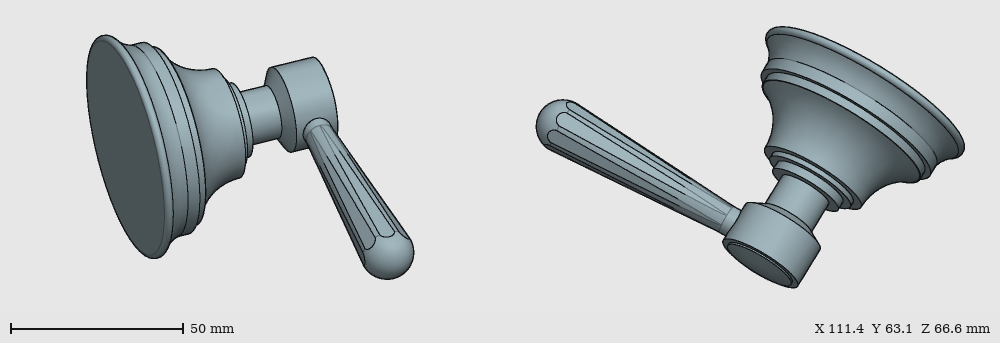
import cadquery as cq
import math

bead_radius = 1.3
base_radius = 33.3
bead_center_radius = base_radius - bead_radius
bead_sweep = math.radians(165)

skirt_mid_radius = 29.8
skirt_mid_height = 5.8
skirt_radius = 28.6
skirt_flare_top = 8.6
skirt_top = 12.3

bell_foot_radius = 26.7
bell_foot_top = 14.8
bell_flare_radius = 26.4
bell_top_radius = 16.4
bell_top = 31.1

lower_collar_radius = 13.7
lower_collar_top = 32.6
upper_collar_radius = 11.1
upper_collar_top = 35.3

neck_radius = 7.9
neck_top = 45.5
head_radius = 12.7
head_bottom = 48.2
head_top = 61.1
cap_radius = 10.8
cap_edge_top = 61.6
overall_height = 63.1

lever_height = 54.6
lever_neck_radius = 4.3
grip_start = 15.2
grip_end_radius = 7.8
overall_length = 111.4
lever_tip = overall_length - base_radius
ball_center = lever_tip - grip_end_radius
flat_count = 8
flat_end_distance = 7.5


def point_on_bell(drop):
    """Point of the bell curve, a circular arc that is vertical at its top, a given drop below that top."""
    width = bell_flare_radius - bell_top_radius
    height = bell_top - bell_foot_top
    arc_radius = (width**2 + height**2) / (2 * width)
    return bell_top_radius + arc_radius - math.sqrt(arc_radius**2 - drop**2), bell_top - drop


def make_body():
    """Base, bell, collars, neck and head as one revolved outline."""
    bell_half_drop = (bell_top - bell_foot_top) / 2
    dome_rise = overall_height - cap_edge_top
    dome_radius = (cap_radius**2 + dome_rise**2) / (2 * dome_rise)
    dome_mid_radius = cap_radius / 2
    dome_mid_height = overall_height - dome_radius + math.sqrt(dome_radius**2 - dome_mid_radius**2)
    bead_end = (
        bead_center_radius + bead_radius * math.sin(bead_sweep),
        bead_radius - bead_radius * math.cos(bead_sweep),
    )
    outline = (
        cq.Workplane("XY")
        .lineTo(bead_center_radius, 0)
        .threePointArc((base_radius, bead_radius), bead_end)
        .threePointArc((skirt_mid_radius, skirt_mid_height), (skirt_radius, skirt_flare_top))
        .lineTo(skirt_radius, skirt_top)
        .lineTo(bell_foot_radius, skirt_top)
        .lineTo(bell_foot_radius, bell_foot_top)
        .lineTo(bell_flare_radius, bell_foot_top)
        .threePointArc(point_on_bell(bell_half_drop), (bell_top_radius, bell_top))
        .lineTo(lower_collar_radius, bell_top)
        .lineTo(lower_collar_radius, lower_collar_top)
        .lineTo(upper_collar_radius, lower_collar_top)
        .lineTo(upper_collar_radius, upper_collar_top)
        .lineTo(neck_radius, upper_collar_top)
        .lineTo(neck_radius, neck_top)
        .lineTo(head_radius, head_bottom)
        .lineTo(head_radius, head_top)
        .lineTo(cap_radius, head_top)
        .lineTo(cap_radius, cap_edge_top)
        .threePointArc((dome_mid_radius, dome_mid_height), (0, overall_height))
        .close()
    )
    return outline.revolve(360, (0, 0, 0), (0, 1, 0))


def make_flat_cutter():
    """Wedge that lies outside one flat, on the +Y side of a lever along the X axis."""
    slope = (flat_end_distance - lever_neck_radius) / (ball_center - grip_start)
    tip_distance = lever_neck_radius + slope * (lever_tip - grip_start)
    clearance = 2 * grip_end_radius
    return (
        cq.Workplane("XY")
        .moveTo(grip_start, lever_neck_radius)
        .lineTo(lever_tip, tip_distance)
        .lineTo(lever_tip, clearance)
        .lineTo(grip_start, clearance)
        .close()
        .extrude(grip_end_radius, both=True)
    )


def make_lever():
    """Round neck, tapered grip and ball end on the X axis, with flats cut evenly around the grip."""
    ball_mid = grip_end_radius * math.sqrt(0.5)
    lever = (
        cq.Workplane("XY")
        .lineTo(0, lever_neck_radius)
        .lineTo(grip_start, lever_neck_radius)
        .lineTo(ball_center, grip_end_radius)
        .threePointArc((ball_center + ball_mid, ball_mid), (lever_tip, 0))
        .close()
        .revolve(360, (0, 0, 0), (1, 0, 0))
    )
    cutter = make_flat_cutter()
    for index in range(flat_count):
        angle = index * 360 / flat_count
        lever = lever.cut(cutter.rotate((0, 0, 0), (1, 0, 0), angle))
    return lever


result = make_body().union(make_lever().translate((0, lever_height, 0)))